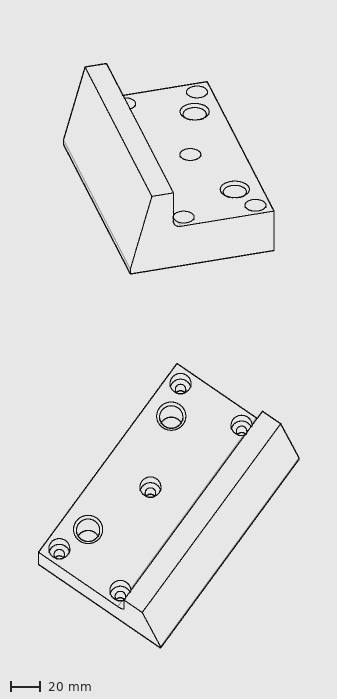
import cadquery as cq
import math

length = 160.0
width = 100.0
height = 60.0

base_height = 32.0
rib_foot_width = 30.0
rib_top_width = 15.0
taper_angle = 15.0
rib_fillet_radius = 5.0
taper_height = (rib_foot_width - rib_top_width) / math.tan(math.radians(taper_angle))
front_lip_height = height - taper_height

screw_diameter = 7.0
counterbore_diameter = 14.0
counterbore_depth = 15.0
screw_edge_offset = 10.0
screw_row_spacing = 50.0
screw_x = length / 2 - screw_edge_offset
screw_back_y = width - screw_edge_offset
screw_front_y = screw_back_y - screw_row_spacing
screw_middle_y = (screw_front_y + screw_back_y) / 2
screw_positions = [
    (-screw_x, screw_front_y),
    (screw_x, screw_front_y),
    (-screw_x, screw_back_y),
    (screw_x, screw_back_y),
    (0, screw_middle_y),
]

large_hole_diameter = 15.5
large_hole_chamfer = 2.0
large_hole_spacing = 96.0
large_hole_back_offset = 18.0
large_hole_y = width - large_hole_back_offset
large_hole_positions = [
    (-large_hole_spacing / 2, large_hole_y),
    (large_hole_spacing / 2, large_hole_y),
]


def make_body():
    """Extrude the Y-Z profile along X, centred on X = 0."""
    fillet_start_y = rib_foot_width + rib_fillet_radius
    fillet_end_z = base_height + rib_fillet_radius
    return (
        cq.Workplane("YZ")
        .moveTo(0, 0)
        .lineTo(width, 0)
        .lineTo(width, base_height)
        .lineTo(fillet_start_y, base_height)
        .radiusArc((rib_foot_width, fillet_end_z), rib_fillet_radius)
        .lineTo(rib_foot_width, height)
        .lineTo(rib_foot_width - rib_top_width, height)
        .lineTo(0, front_lip_height)
        .close()
        .extrude(length / 2, both=True)
    )


def make_cylinder(diameter, x, y, bottom_z, top_z):
    """Vertical cylinder between two heights."""
    return cq.Workplane("XY", origin=(x, y, bottom_z)).circle(diameter / 2).extrude(top_z - bottom_z)


def make_screw_cutter(x, y):
    """Through hole with a counterbore that also clears the rib fillet above the base."""
    hole = make_cylinder(screw_diameter, x, y, 0, base_height)
    counterbore = make_cylinder(counterbore_diameter, x, y, base_height - counterbore_depth, height)
    return hole.union(counterbore)


def make_large_hole_cutter(x, y):
    """Through hole with a 45 degree chamfer at the base's top face."""
    hole_radius = large_hole_diameter / 2
    mouth_radius = hole_radius + large_hole_chamfer
    return (
        cq.Workplane("XZ", origin=(x, y, 0))
        .moveTo(0, 0)
        .lineTo(hole_radius, 0)
        .lineTo(hole_radius, base_height - large_hole_chamfer)
        .lineTo(mouth_radius, base_height)
        .lineTo(0, base_height)
        .close()
        .revolve(360, (0, 0, 0), (0, 1, 0))
    )


result = make_body()
for hole_x, hole_y in screw_positions:
    result = result.cut(make_screw_cutter(hole_x, hole_y))
for hole_x, hole_y in large_hole_positions:
    result = result.cut(make_large_hole_cutter(hole_x, hole_y))